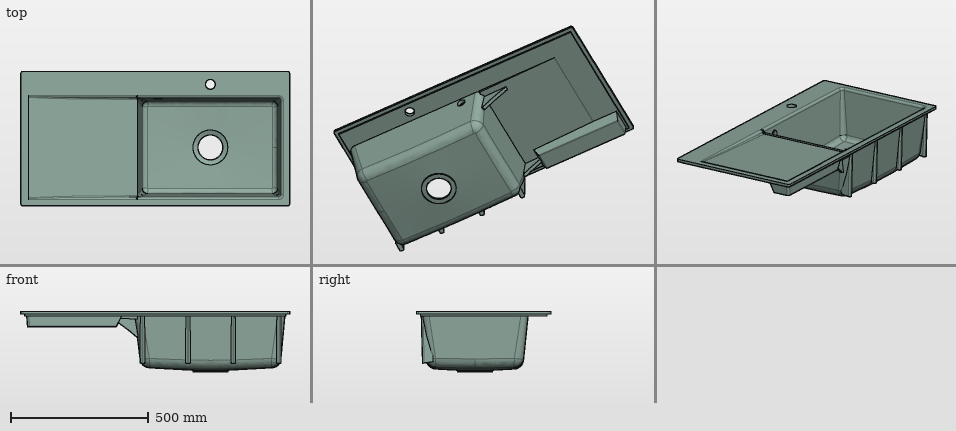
import cadquery as cq


RIM_LENGTH = 980.8
RIM_WIDTH = 490.8
RIM_THICKNESS = 10.0
RIM_CORNER = 8.0
LIP_INSET = 14.0
LIP_BOTTOM = -17.0

OPENING_LEFT = -462.0
OPENING_RIGHT = 468.0
OPENING_FRONT = -222.0
OPENING_BACK = 157.0
RIM_ROUND = 9.0
OPENING_CORNER = 10.0

DRAINER_STEP = 1.5
DRAINER_DEPTH = 15.0
DRAINER_WALL = 12.5
DRAINER_FLOOR_ROUND = 5.0

BOWL_LEFT = -65.0
BOWL_TOP = (BOWL_LEFT, OPENING_RIGHT - RIM_ROUND, OPENING_FRONT + RIM_ROUND, OPENING_BACK - RIM_ROUND)
BOWL_BASE = (-43.5, 443.5, -197.5, 133.5)
BOWL_BASE_Z = -210.0
BOWL_BASE_CORNER = 21.0
BOWL_FLOOR_ROUND = 20.0
SHELL_TOP = (-75.0, 473.0, -226.0, 162.0)
SHELL_TOP_CORNER = 27.0
SHELL_BASE = (-50.0, 454.0, -205.0, 141.0)
SHELL_BASE_Z = -220.0
SHELL_BASE_CORNER = 37.0
SHELL_BASE_ROUND = 36.0

DRAIN_X = 201.0
DRAIN_Y = -32.0
DRAIN_SEAT_DIAMETER = 127.0
DRAIN_HOLE_DIAMETER = 90.0
FLOOR_SLOPE = 0.055
DRAIN_SEAT_Z = -204.0
UNDERSIDE_SEAT_Z = -214.5
DRAIN_SEAT_DEPTH = 8.0
TOTAL_HEIGHT = 220.0

TAP_DIAMETER = 35.0
TAP_Y = 198.0
OVERFLOW_DIAMETER = 30.0
OVERFLOW_X = 10.0
OVERFLOW_Z = -40.0

RIB_COUNT = 4
RIB_PITCH = 165.5
RIB_ROW_CENTRE_X = 202.0
RIB_WIDTH = 17.0
RIB_CREST_ROUND = 6.5
RIB_TOP_Y = -228.0
RIB_BASE_Y = -223.5
RIB_BASE_Z = -189.0
RIB_ROOT_Y = -185.0
RIB_ROOT_Z = -183.0

BEAM_TOP = (-469.0, -123.0, -228.0, -146.0)
BEAM_BASE = (-466.0, -142.0, -227.0, -163.0)
BEAM_BASE_Z = -56.0
BEAM_BASE_ROUND = 2.5
BEAM_CORNER = 8.0

GUSSET_YS = (130.0, -194.0)
GUSSET_WIDTH = 14.0
GUSSET_START = (-166.0, -22.0)
GUSSET_MIDDLE = (-107.0, -61.0)
GUSSET_END = (-66.0, -95.0)
GUSSET_ROOT_X = -58.0

SLANTED = "not(|X or |Y)"


def rectangle(bounds, z):
    """Rectangular wire sketch at height z from (left, right, front, back)."""
    left, right, front, back = bounds
    return (
        cq.Workplane("XY", origin=((left + right) / 2, (front + back) / 2, z))
        .rect(right - left, back - front)
    )


def rounded_rectangle(bounds, corner, z):
    """Wire of a rectangle with rounded corners at height z."""
    face = cq.Face.makeFromWires(rectangle(bounds, z).val())
    return face.fillet2D(corner, face.Vertices()).outerWire()


def prism(bounds, top_z, bottom_z):
    return rectangle(bounds, bottom_z).extrude(top_z - bottom_z)


def tapered_block(top, top_z, base, base_z):
    wires = [rectangle(top, top_z).val(), rectangle(base, base_z).val()]
    return cq.Workplane(cq.Solid.makeLoft(wires, True))


def drain_disc(diameter, top_z, bottom_z):
    disc = cq.Workplane("XY", origin=(DRAIN_X, DRAIN_Y, bottom_z)).circle(diameter / 2)
    return disc.extrude(top_z - bottom_z)


def space_above_cone(seat_z):
    """Everything above a shallow cone that falls to the rim of the drain seat."""
    seat_radius = DRAIN_SEAT_DIAMETER / 2
    reach = RIM_LENGTH / 2
    outline = [
        (0, 0),
        (0, seat_z),
        (seat_radius, seat_z),
        (reach, seat_z + FLOOR_SLOPE * (reach - seat_radius)),
        (reach, 0),
    ]
    space = cq.Workplane("XZ").polyline(outline).close().revolve(360, (0, 0, 0), (0, 1, 0))
    return space.translate((DRAIN_X, DRAIN_Y, 0))


def basin(top, top_corner, top_z, base, base_corner, base_z, seat_z, floor_round):
    """Tapered tub with a conical floor and a rounded floor edge."""
    mouth = rounded_rectangle(top, top_corner, top_z)
    foot = rounded_rectangle(base, base_corner, base_z)
    tub = cq.Workplane(cq.Solid.makeLoft([mouth, foot], True))
    tub = tub.intersect(space_above_cone(seat_z))
    cone_face = tub.faces("%CONE").faces(cq.selectors.AreaNthSelector(-1))
    return cone_face.edges("not %CIRCLE").fillet(floor_round)


def rim():
    half_length = RIM_LENGTH / 2
    half_width = RIM_WIDTH / 2
    plate = prism((-half_length, half_length, -half_width, half_width), 0, -RIM_THICKNESS)
    plate = plate.edges("|Z").fillet(RIM_CORNER)
    lip_x = half_length - LIP_INSET
    lip_y = half_width - LIP_INSET
    return plate.union(prism((-lip_x, lip_x, -lip_y, lip_y), -RIM_THICKNESS, LIP_BOTTOM))


def bowl_shell():
    shell = basin(
        SHELL_TOP, SHELL_TOP_CORNER, LIP_BOTTOM,
        SHELL_BASE, SHELL_BASE_CORNER, SHELL_BASE_Z,
        UNDERSIDE_SEAT_Z, SHELL_BASE_ROUND,
    )
    return shell.union(drain_disc(DRAIN_SEAT_DIAMETER, UNDERSIDE_SEAT_Z, -TOTAL_HEIGHT))


def drainer_underside():
    """Wedge that thickens the drainer below the lip where its floor is deep."""
    slope = (DRAINER_DEPTH - DRAINER_STEP) / (BOWL_LEFT - OPENING_LEFT)
    deep_z = -DRAINER_DEPTH - DRAINER_WALL
    start_x = BOWL_LEFT - (LIP_BOTTOM - deep_z) / slope
    outline = [(start_x, LIP_BOTTOM), (BOWL_LEFT, deep_z), (BOWL_LEFT, LIP_BOTTOM)]
    front = SHELL_TOP[2]
    back = SHELL_TOP[3]
    return cq.Workplane("XZ", origin=(0, back, 0)).polyline(outline).close().extrude(back - front)


def beam():
    block = tapered_block(BEAM_TOP, LIP_BOTTOM, BEAM_BASE, BEAM_BASE_Z)
    block = block.edges(SLANTED).edges("<X and <Y").fillet(BEAM_CORNER)
    return block.faces("<Z").edges().fillet(BEAM_BASE_ROUND)


def rib(index):
    outline = [
        (RIB_TOP_Y, LIP_BOTTOM),
        (RIB_BASE_Y, RIB_BASE_Z),
        (RIB_ROOT_Y, RIB_ROOT_Z),
        (RIB_ROOT_Y, LIP_BOTTOM),
    ]
    bar = cq.Workplane("YZ").polyline(outline).close().extrude(RIB_WIDTH / 2, both=True)
    bar = bar.faces("<Y").edges("not |X").fillet(RIB_CREST_ROUND)
    x = RIB_ROW_CENTRE_X + (index - (RIB_COUNT - 1) / 2) * RIB_PITCH
    return bar.translate((x, 0, 0))


def gusset(y):
    return (
        cq.Workplane("XZ", origin=(0, y, 0))
        .moveTo(GUSSET_START[0], LIP_BOTTOM)
        .lineTo(*GUSSET_START)
        .threePointArc(GUSSET_MIDDLE, GUSSET_END)
        .lineTo(GUSSET_ROOT_X, GUSSET_END[1])
        .lineTo(GUSSET_ROOT_X, LIP_BOTTOM)
        .close()
        .extrude(GUSSET_WIDTH / 2, both=True)
    )


def rounded_opening():
    """Space of the opening, flaring out over the convex round of the rim."""
    _, right, front, back = BOWL_TOP
    depth = DRAINER_DEPTH + RIM_ROUND
    margin = 4 * RIM_ROUND
    hole = prism((OPENING_LEFT - margin, right, front, back), 0, -depth)
    hole = hole.edges("|Z and >X").fillet(OPENING_CORNER)
    frame = prism((OPENING_LEFT - 2 * margin, right + margin, front - margin, back + margin), 0, -depth)
    frame = frame.cut(hole)
    left_limit = OPENING_LEFT - margin / 2
    opening_edges = cq.selectors.BoxSelector(
        (left_limit, front - RIM_ROUND, -RIM_ROUND),
        (right + RIM_ROUND, back + RIM_ROUND, RIM_ROUND),
    )
    frame = frame.faces(">Z").edges(opening_edges).fillet(RIM_ROUND)
    block = prism((OPENING_LEFT, OPENING_RIGHT, OPENING_FRONT, OPENING_BACK), 0, -depth)
    return block.cut(frame)


def drainer_cavity():
    """Sloping part of the opening; only the long sides of its floor are rounded."""
    profile = [
        (OPENING_LEFT, 0),
        (OPENING_LEFT, -DRAINER_STEP),
        (BOWL_LEFT, -DRAINER_DEPTH),
        (BOWL_LEFT, 0),
    ]
    region = cq.Workplane("XZ").polyline(profile).close().extrude(RIM_WIDTH / 2, both=True)
    cavity = rounded_opening().intersect(region)
    return cavity.faces("<Z").edges("not |Y").fillet(DRAINER_FLOOR_ROUND)


def bowl_rim_cavity():
    region = prism((BOWL_LEFT, OPENING_RIGHT, OPENING_FRONT, OPENING_BACK), 0, -RIM_ROUND)
    return rounded_opening().intersect(region)


def bowl_cavity():
    return basin(
        BOWL_TOP, OPENING_CORNER, -RIM_ROUND,
        BOWL_BASE, BOWL_BASE_CORNER, BOWL_BASE_Z,
        DRAIN_SEAT_Z, BOWL_FLOOR_ROUND,
    )


def drain_opening():
    seat = (
        cq.Workplane("XY", origin=(DRAIN_X, DRAIN_Y, DRAIN_SEAT_Z))
        .circle(DRAIN_SEAT_DIAMETER / 2)
        .workplane(offset=-DRAIN_SEAT_DEPTH)
        .circle(DRAIN_HOLE_DIAMETER / 2)
        .loft()
    )
    return seat.union(drain_disc(DRAIN_HOLE_DIAMETER, DRAIN_SEAT_Z, -TOTAL_HEIGHT))


def tap_hole():
    return (
        cq.Workplane("XY", origin=(DRAIN_X, TAP_Y, LIP_BOTTOM))
        .circle(TAP_DIAMETER / 2)
        .extrude(-LIP_BOTTOM)
    )


def overflow_hole():
    return (
        cq.Workplane("XZ", origin=(OVERFLOW_X, SHELL_TOP[3], OVERFLOW_Z))
        .circle(OVERFLOW_DIAMETER / 2)
        .extrude(SHELL_TOP[3] - BOWL_BASE[3])
    )


body = rim().union(bowl_shell()).union(drainer_underside()).union(beam())
for rib_index in range(RIB_COUNT):
    body = body.union(rib(rib_index))
for gusset_y in GUSSET_YS:
    body = body.union(gusset(gusset_y))

cavities = [
    drainer_cavity(),
    bowl_rim_cavity(),
    bowl_cavity(),
    drain_opening(),
    tap_hole(),
    overflow_hole(),
]
for cavity in cavities:
    body = body.cut(cavity)

result = body